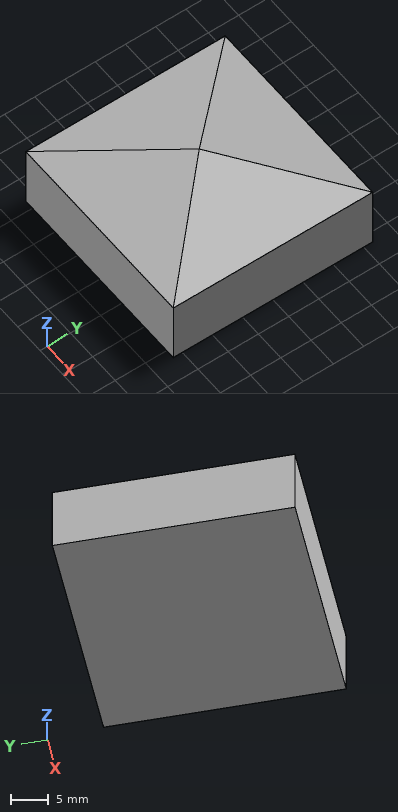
import cadquery as cq

side = 33.0
total_height = 15.58
roof_height = 4.92
base_height = total_height - roof_height
half_side = side / 2

base = cq.Workplane("XY").box(side, side, base_height, centered=(True, True, False))


def pyramid_face(*points):
    return cq.Face.makeFromWires(cq.Wire.makePolygon(points, close=True))


def pyramid_roof():
    """Four sloping faces meeting at a sharp apex over the block's centre."""
    apex = cq.Vector(0, 0, total_height)
    corners = [
        cq.Vector(x * half_side, y * half_side, base_height)
        for x, y in [(-1, -1), (1, -1), (1, 1), (-1, 1)]
    ]
    faces = [pyramid_face(*corners)]
    for start, end in zip(corners, corners[1:] + corners[:1]):
        faces.append(pyramid_face(start, end, apex))
    return cq.Solid.makeSolid(cq.Shell.makeShell(faces))


result = base.union(cq.Workplane(obj=pyramid_roof()))